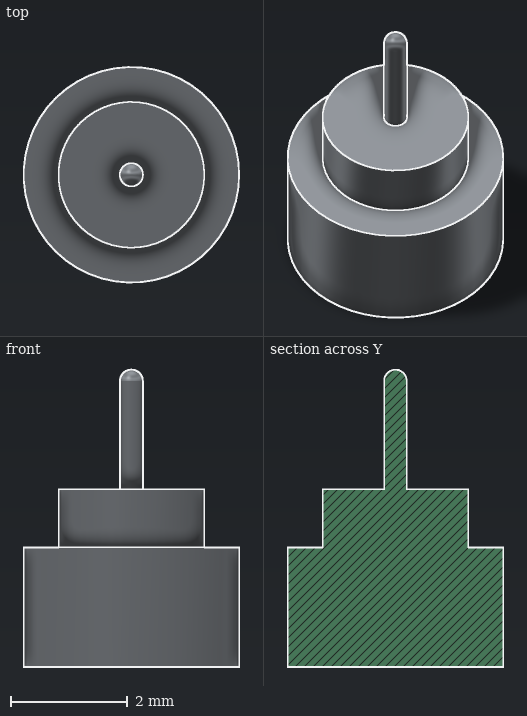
import cadquery as cq

total_height = 5.1
base_diameter = 3.7
base_height = 2.05
collar_diameter = 2.5
collar_height = 1.0
insert_diameter = 1.95
pin_diameter = 0.4

collar_top = base_height + collar_height
pin_length = total_height - collar_top
pin_radius = pin_diameter / 2


def cylinder(diameter, bottom, height):
    """Upright cylinder centred on the Z axis."""
    return cq.Workplane("XY").workplane(offset=bottom).circle(diameter / 2).extrude(height)


base = cylinder(base_diameter, 0, base_height)
collar = cylinder(collar_diameter, base_height, collar_height)
body = base.union(collar)

insert = cylinder(insert_diameter, base_height, collar_height)
body = body.cut(insert).union(insert, clean=False)

straight_length = pin_length - pin_radius
pin_shaft = cylinder(pin_diameter, collar_top, straight_length)
pin_tip = cq.Workplane("XY").sphere(pin_radius).translate((0, 0, collar_top + straight_length))
pin = pin_shaft.union(pin_tip)

result = body.union(pin, clean=False)